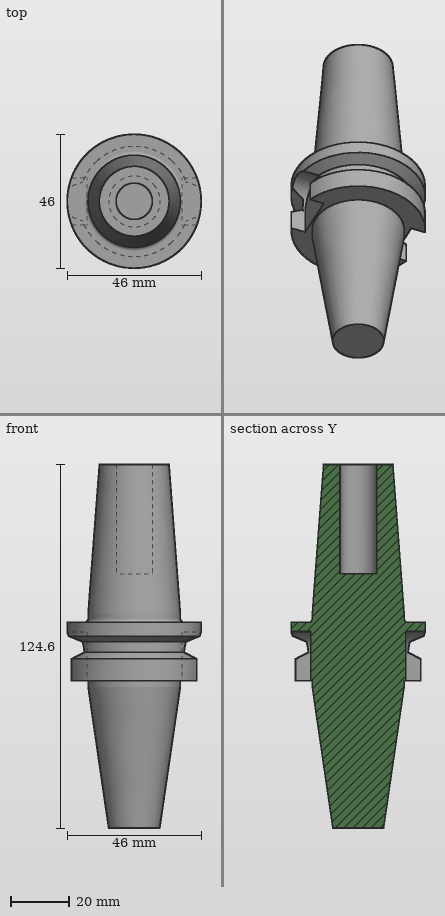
import cadquery as cq

overall_length = 124.6
taper_length = 48.3
flange_bottom = 50.5
flange_height = 20.0
lower_rim_height = 7.5
groove_bottom = 60.2
groove_top = 63.8
upper_rim_height = 4.7
collar_top = 73.6

flange_radius = 22.99
groove_radius = 19.0
collar_radius = 15.8
nose_radius = 12.0
bore_radius = 6.2
taper_ratio = 7 / 24

root_fillet = 1.2
bore_depth = 37.4

slot_width = 16.2
slot_top = 67.3
slot_floor = 16.3

flange_top = flange_bottom + flange_height
tip_radius = collar_radius - taper_length * taper_ratio / 2


def make_body():
    """Revolve the taper, grooved flange, collar and conical nose."""
    profile = (
        cq.Workplane("XZ")
        .lineTo(tip_radius, 0)
        .lineTo(collar_radius, taper_length)
        .lineTo(collar_radius, flange_bottom)
        .lineTo(flange_radius, flange_bottom)
        .lineTo(flange_radius, flange_bottom + lower_rim_height)
        .lineTo(groove_radius, groove_bottom)
        .lineTo(groove_radius, groove_top)
        .lineTo(flange_radius, flange_top - upper_rim_height)
        .lineTo(flange_radius, flange_top)
        .lineTo(collar_radius + root_fillet, flange_top)
        .radiusArc((collar_radius, flange_top + root_fillet), root_fillet)
        .lineTo(collar_radius, collar_top)
        .lineTo(nose_radius, overall_length)
        .lineTo(0, overall_length)
        .close()
    )
    return profile.revolve(360, (0, 0, 0), (0, 1, 0))


def make_slot_cutter(side):
    """Round-topped drive slot, open below; side is +1 or -1 along X."""
    half_width = slot_width / 2
    arc_start = slot_top - half_width
    return (
        cq.Workplane("YZ", origin=(side * slot_floor, 0, 0))
        .moveTo(-half_width, flange_bottom)
        .lineTo(-half_width, arc_start)
        .threePointArc((0, slot_top), (half_width, arc_start))
        .lineTo(half_width, flange_bottom)
        .close()
        .extrude(side * flange_radius)
    )


def make_bore():
    """Blind tool bore in the nose."""
    return (
        cq.Workplane("XY", origin=(0, 0, overall_length - bore_depth))
        .circle(bore_radius)
        .extrude(bore_depth)
    )


result = make_body().cut(make_bore())
for side in (-1, 1):
    result = result.cut(make_slot_cutter(side))